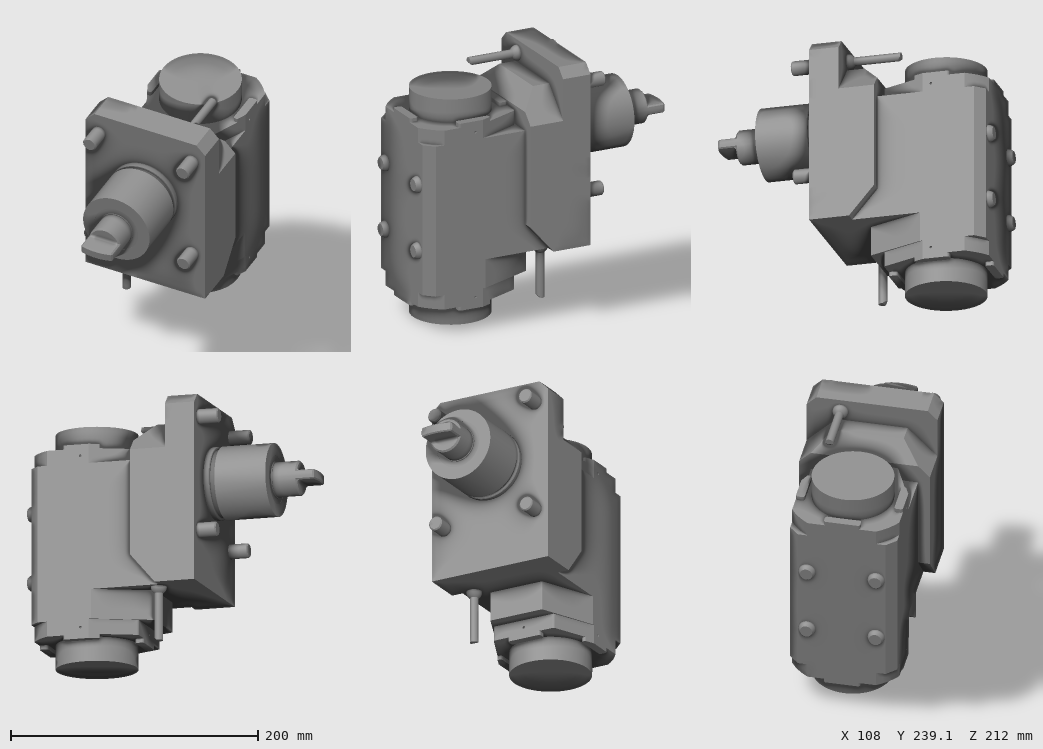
import cadquery as cq
import math


PLATE_WIDTH = 108.0
PLATE_THICKNESS = 25.0
PLATE_TOP = 65.0
PLATE_BOTTOM = -90.0
PLATE_CORNER_CHAMFER = 8.0

NECK_BACK = 54.6
NECK_TOP = 45.7
NECK_SIDE_CHAMFER = 24.6
NECK_REAR_CHAMFER = 15.0
NECK_UNDERCUT_DEPTH = 21.0
NECK_UNDERCUT_HEIGHT = 24.2

HEAD_WIDTH = 88.5
HEAD_BACK = 144.0
HEAD_MID_Z = -50.0
HEAD_REAR_CHAMFER = 8.0
BODY_HALF_HEIGHT = 64.6
BODY_NOSE_FRONT = 43.2
BODY_NOSE_HALF_WIDTH = 24.0
BODY_TAPER_START = 90.7
BODY_NOSE_FILLET = 0.6

CAP_HALF_HEIGHT = 77.0
CAP_FRONT = HEAD_BACK - HEAD_WIDTH
CAP_NOSE_HALF_WIDTH = 27.9
CAP_TAPER_START = 92.8
CAP_NOSE_FILLET = 2.1
CAP_TURNED_DIAMETER = 105.0

DRUM_Y = HEAD_BACK - HEAD_WIDTH / 2
DRUM_DIAMETER = 67.0
DRUM_HALF_HEIGHT = 97.0
KEY_LENGTH = 30.0
KEY_INNER_OFFSET = 37.0
KEY_HALF_HEIGHT = 80.5
KEY_CORNER_RADIUS = 2.0

VENT_DIAMETER = 2.1
VENT_DEPTH = 2.0
VENT_HALF_SPACING = 71.0

BUTTON_DIAMETER = 14.0
BUTTON_TOP_DIAMETER = 10.0
BUTTON_HEIGHT = 4.5
BUTTON_BULGE = 0.62
BUTTON_OFFSET = 28.5

QUILL_DIAMETER = 60.0
QUILL_END = 52.6
RELIEF_DIAMETER = 59.0
RELIEF_END = 1.3
SEAL_GROOVE_DIAMETER = 55.2
SEAL_GROOVE_START = 5.0
SEAL_GROOVE_END = 8.8
SEAL_GROOVE_CHAMFER = 0.6
SEAT_DIAMETER = 39.5
SEAT_DEPTH = 0.2
COLLAR_DIAMETER = 30.0
COLLAR_LENGTH = 0.7
SHAFT_DIAMETER = 28.5
SHAFT_END = 74.0
SHAFT_CHAMFER = 1.3

TANG_THICKNESS = 8.0
TANG_END = 90.6
TANG_TIP_RADIUS = 45.0
TANG_ROOT_FILLET = 2.0
TANG_EDGE_CHAMFER = 1.0
TANG_CORNER_CHAMFER = 1.2

BOLT_DIAMETER = 12.0
BOLT_CHAMFER = 1.0
BOLT_X = 42.0
BOLT_Z = 47.0
UPPER_BOLT_LENGTH = 17.5
LOWER_BOLT_LENGTH = 16.0

PIPE_DIAMETER = 7.0
PIPE_LENGTH = 44.5
PIPE_TIP_CHAMFER = 2.6
BALL_DIAMETER = 13.0
UPPER_PIPE_X = 26.0
UPPER_PIPE_Z = 54.0
LOWER_PIPE_X = -35.0
LOWER_PIPE_Y = 36.1


def box(x_range, y_range, z_range):
    """Block given by its (min, max) along each axis."""
    sizes = [high - low for low, high in (x_range, y_range, z_range)]
    corner = (x_range[0], y_range[0], z_range[0])
    return cq.Workplane("XY").box(*sizes, centered=False).translate(corner)


def rod_y(diameter, y_start, y_end, x=0.0, z=0.0):
    """Cylinder along Y between two Y positions."""
    length = y_end - y_start
    return cq.Workplane("XZ", origin=(x, y_end, z)).circle(diameter / 2).extrude(length)


def drum_cylinder(diameter, half_height):
    """Cylinder on the drum axis, symmetric about the head's mid height."""
    plane = cq.Workplane("XY", origin=(0, DRUM_Y, HEAD_MID_Z))
    return plane.circle(diameter / 2).extrude(half_height, both=True)


def make_plate():
    half = PLATE_WIDTH / 2
    plate = box((-half, half), (0, PLATE_THICKNESS), (PLATE_BOTTOM, PLATE_TOP))
    return plate.edges("|Y and >Z").chamfer(PLATE_CORNER_CHAMFER)


def make_neck():
    half = PLATE_WIDTH / 2
    neck = box((-half, half), (0, NECK_BACK), (PLATE_BOTTOM, NECK_TOP))
    neck = neck.edges("|Y and >Z").chamfer(NECK_SIDE_CHAMFER)
    neck = neck.faces(">Z").edges(">Y").chamfer(NECK_REAR_CHAMFER)
    undercut = (
        cq.Workplane("YZ")
        .moveTo(NECK_BACK, PLATE_BOTTOM)
        .lineTo(NECK_BACK - NECK_UNDERCUT_DEPTH, PLATE_BOTTOM)
        .lineTo(NECK_BACK, PLATE_BOTTOM + NECK_UNDERCUT_HEIGHT)
        .close()
        .extrude(half, both=True)
    )
    return neck.cut(undercut)


def tapered_prism(front, nose_half_width, taper_start, nose_fillet, z_low, z_high):
    """Full-width head section whose sides taper to a narrower rounded nose."""
    half = HEAD_WIDTH / 2
    outline = [
        (-half, HEAD_BACK),
        (-half, taper_start),
        (-nose_half_width, front),
        (nose_half_width, front),
        (half, taper_start),
        (half, HEAD_BACK),
    ]
    prism = cq.Workplane("XY", origin=(0, 0, z_low)).polyline(outline).close().extrude(z_high - z_low)
    return prism.faces("<Y").edges("|Z").fillet(nose_fillet)


def make_body():
    half = HEAD_WIDTH / 2
    bottom = HEAD_MID_Z - BODY_HALF_HEIGHT
    top = HEAD_MID_Z + BODY_HALF_HEIGHT
    lower = tapered_prism(
        BODY_NOSE_FRONT, BODY_NOSE_HALF_WIDTH, BODY_TAPER_START, BODY_NOSE_FILLET, bottom, PLATE_BOTTOM
    )
    upper = box((-half, half), (PLATE_THICKNESS, HEAD_BACK), (PLATE_BOTTOM, top))
    return lower.union(upper).edges("|Z and >Y").chamfer(HEAD_REAR_CHAMFER)


def cap_prism(half_height):
    """Cap outline extruded evenly above and below the head's mid height."""
    return tapered_prism(
        CAP_FRONT,
        CAP_NOSE_HALF_WIDTH,
        CAP_TAPER_START,
        CAP_NOSE_FILLET,
        HEAD_MID_Z - half_height,
        HEAD_MID_Z + half_height,
    )


def make_caps():
    turned = drum_cylinder(CAP_TURNED_DIAMETER, CAP_HALF_HEIGHT)
    half = HEAD_WIDTH / 2
    front = box(
        (-half, half),
        (CAP_FRONT, DRUM_Y),
        (HEAD_MID_Z - CAP_HALF_HEIGHT, HEAD_MID_Z + CAP_HALF_HEIGHT),
    )
    return cap_prism(CAP_HALF_HEIGHT).intersect(turned.union(front))


def make_keys():
    """Four keys around each drum, trimmed to the cap outline."""
    outer = HEAD_WIDTH / 2
    z_range = (HEAD_MID_Z - KEY_HALF_HEIGHT, HEAD_MID_Z + KEY_HALF_HEIGHT)
    bar = box((KEY_INNER_OFFSET, outer), (-KEY_LENGTH / 2, KEY_LENGTH / 2), z_range)
    bar = bar.edges("|Z").fillet(KEY_CORNER_RADIUS)
    keys = cq.Workplane("XY")
    for angle in (0, 90, 180, 270):
        keys = keys.add(bar.rotate((0, 0, 0), (0, 0, 1), angle).translate((0, DRUM_Y, 0)))
    return keys.combine().intersect(cap_prism(KEY_HALF_HEIGHT))


def make_vents():
    """Small blind holes in both sides of each cap and in the front of the lower cap."""
    half = HEAD_WIDTH / 2
    vents = cq.Workplane("XY")
    for z in (HEAD_MID_Z - VENT_HALF_SPACING, HEAD_MID_Z + VENT_HALF_SPACING):
        for side in (-1, 1):
            start = cq.Workplane("YZ", origin=(side * half, DRUM_Y, z))
            vents = vents.add(start.circle(VENT_DIAMETER / 2).extrude(-side * VENT_DEPTH))
    front_z = HEAD_MID_Z - VENT_HALF_SPACING
    vents = vents.add(rod_y(VENT_DIAMETER, CAP_FRONT, CAP_FRONT + VENT_DEPTH, z=front_z))
    return vents.combine()


def make_button():
    """Domed screw head standing on the back face, turned about Y."""
    base_radius = BUTTON_DIAMETER / 2
    top_radius = BUTTON_TOP_DIAMETER / 2
    bulge_radius = top_radius + BUTTON_BULGE * (base_radius - top_radius)
    bulge_y = BUTTON_BULGE * BUTTON_HEIGHT
    return (
        cq.Workplane("XY")
        .lineTo(base_radius, 0)
        .threePointArc((bulge_radius, bulge_y), (top_radius, BUTTON_HEIGHT))
        .lineTo(0, BUTTON_HEIGHT)
        .close()
        .revolve(360, (0, 0, 0), (0, 1, 0))
    )


def make_buttons():
    button = make_button()
    buttons = cq.Workplane("XY")
    for x in (-BUTTON_OFFSET, BUTTON_OFFSET):
        for z in (HEAD_MID_Z - BUTTON_OFFSET, HEAD_MID_Z + BUTTON_OFFSET):
            buttons = buttons.add(button.translate((x, HEAD_BACK, z)))
    return buttons.combine()


def make_spindle():
    spindle = rod_y(RELIEF_DIAMETER, -RELIEF_END, 0)
    flange = rod_y(QUILL_DIAMETER, -SEAL_GROOVE_START, -RELIEF_END)
    spindle = spindle.union(flange.faces("<Y").chamfer(SEAL_GROOVE_CHAMFER))
    spindle = spindle.union(rod_y(SEAL_GROOVE_DIAMETER, -SEAL_GROOVE_END, -SEAL_GROOVE_START))
    quill = rod_y(QUILL_DIAMETER, -QUILL_END, -SEAL_GROOVE_END)
    spindle = spindle.union(quill.faces(">Y").chamfer(SEAL_GROOVE_CHAMFER))
    spindle = spindle.cut(rod_y(SEAT_DIAMETER, -QUILL_END, SEAT_DEPTH - QUILL_END))
    spindle = spindle.union(rod_y(COLLAR_DIAMETER, -QUILL_END - COLLAR_LENGTH, SEAT_DEPTH - QUILL_END))
    shaft = rod_y(SHAFT_DIAMETER, -SHAFT_END, SEAT_DEPTH - QUILL_END)
    return spindle.union(shaft.faces("<Y").chamfer(SHAFT_CHAMFER))


def make_tang():
    """Flat drive blade with a rounded tip and filleted root."""
    half_width = SHAFT_DIAMETER / 2
    half_thickness = TANG_THICKNESS / 2
    base_y = SHAFT_CHAMFER - SHAFT_END
    tip_sag = TANG_TIP_RADIUS - math.sqrt(TANG_TIP_RADIUS**2 - half_width**2)
    blade = (
        cq.Workplane("XY", origin=(0, 0, -half_thickness))
        .moveTo(-half_width, base_y)
        .lineTo(-half_width, tip_sag - TANG_END)
        .threePointArc((0, -TANG_END), (half_width, tip_sag - TANG_END))
        .lineTo(half_width, base_y)
        .close()
        .extrude(TANG_THICKNESS)
    )
    blade = blade.edges("|Z").edges("<Y").chamfer(TANG_CORNER_CHAMFER)
    blade = blade.intersect(rod_y(SHAFT_DIAMETER, -TANG_END, base_y))
    blade = blade.faces("<Z or >Z").edges("not >Y").chamfer(TANG_EDGE_CHAMFER)
    root_half = half_thickness + TANG_ROOT_FILLET
    root = box(
        (-half_width, half_width),
        (-SHAFT_END - TANG_ROOT_FILLET, -SHAFT_END),
        (-root_half, root_half),
    )
    for z in (-root_half, root_half):
        scoop = cq.Workplane("YZ", origin=(-half_width, -SHAFT_END - TANG_ROOT_FILLET, z))
        root = root.cut(scoop.circle(TANG_ROOT_FILLET).extrude(SHAFT_DIAMETER))
    root_limit = rod_y(SHAFT_DIAMETER - 2 * SHAFT_CHAMFER, -TANG_END, -SHAFT_END)
    return blade.union(root.intersect(root_limit))


def make_bolts():
    bolts = cq.Workplane("XY")
    for z, length in ((BOLT_Z, UPPER_BOLT_LENGTH), (-BOLT_Z, LOWER_BOLT_LENGTH)):
        for x in (-BOLT_X, BOLT_X):
            bolt = rod_y(BOLT_DIAMETER, -length, 0, x, z)
            bolts = bolts.add(bolt.faces("<Y").chamfer(BOLT_CHAMFER))
    return bolts.combine()


def make_pipe():
    """Pipe pointing along +Y from a ball at the origin, tip bevelled on its -Z side."""
    radius = PIPE_DIAMETER / 2
    pipe = rod_y(PIPE_DIAMETER, 0, PIPE_LENGTH)
    bevel = (
        cq.Workplane("YZ")
        .moveTo(PIPE_LENGTH, -radius)
        .lineTo(PIPE_LENGTH - PIPE_TIP_CHAMFER, -radius)
        .lineTo(PIPE_LENGTH, PIPE_TIP_CHAMFER - radius)
        .close()
        .extrude(radius, both=True)
    )
    return pipe.cut(bevel).union(cq.Workplane("XY").sphere(BALL_DIAMETER / 2))


def make_pipes():
    pipe = make_pipe()
    upper = pipe.translate((UPPER_PIPE_X, PLATE_THICKNESS, UPPER_PIPE_Z))
    downward = pipe.rotate((0, 0, 0), (1, 0, 0), -90).rotate((0, 0, 0), (0, 0, 1), 180)
    lower = downward.translate((LOWER_PIPE_X, LOWER_PIPE_Y, PLATE_BOTTOM))
    return upper.union(lower)


result = make_plate().union(make_neck()).union(make_body())
result = result.union(make_caps()).union(make_keys())
result = result.union(drum_cylinder(DRUM_DIAMETER, DRUM_HALF_HEIGHT))
result = result.cut(make_vents())
result = result.union(make_buttons()).union(make_bolts())
result = result.union(make_spindle()).union(make_tang())
result = result.union(make_pipes())